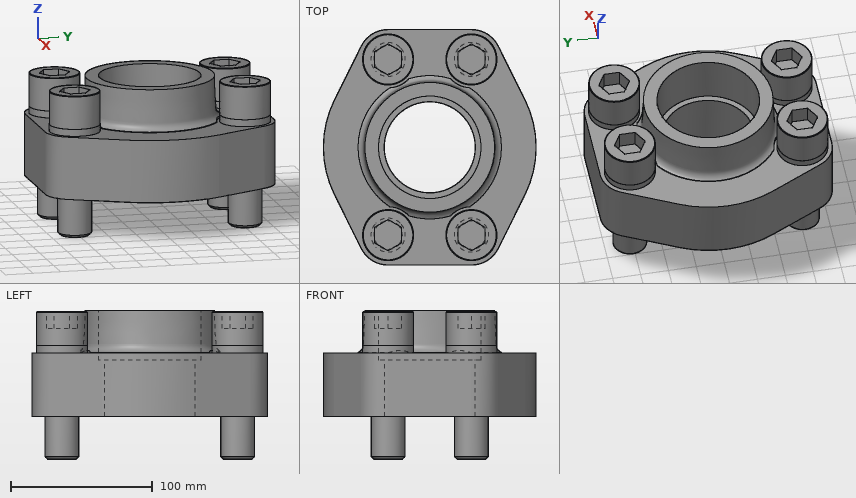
import cadquery as cq
import math

plate_length = 166.0
plate_thickness = 45.0
side_radius = 75.0
bore_diameter = 64.0

bolt_spacing_x = 58.7
bolt_spacing_y = 123.7
bolt_points = [
    (sign_x * bolt_spacing_x / 2, sign_y * bolt_spacing_y / 2)
    for sign_x in (-1, 1)
    for sign_y in (-1, 1)
]
bolt_clearance_diameter = 40.0

neck_height = 30.0
neck_top_radius = 45.7
neck_foot_radius = 46.7
neck_base_radius = 50.5
foot_fillet_radius = 6.0
socket_diameter = 72.23
socket_depth = 35.0

washer_diameter = 36.0
washer_thickness = 5.0
head_diameter = 35.9
head_height = 24.0
head_chamfer = 0.5
hex_sides = 6
hex_across_flats = 19.0
hex_depth = 12.0
shank_diameter = 24.0
shank_protrusion = 30.0
shank_tip_chamfer = 2.0


def make_plate():
    """Plate bounded by two straight ends, corner arcs about the bolts, tangent flanks and side arcs."""
    bolt_x = bolt_spacing_x / 2
    bolt_y = bolt_spacing_y / 2
    half_length = plate_length / 2
    corner_radius = half_length - bolt_y
    flank_angle = math.atan2(bolt_y, bolt_x) - math.acos(
        (side_radius - corner_radius) / math.hypot(bolt_x, bolt_y)
    )
    corner_middle_angle = (flank_angle + math.pi / 2) / 2

    side_x = side_radius * math.cos(flank_angle)
    side_y = side_radius * math.sin(flank_angle)
    corner_x = bolt_x + corner_radius * math.cos(flank_angle)
    corner_y = bolt_y + corner_radius * math.sin(flank_angle)
    middle_x = bolt_x + corner_radius * math.cos(corner_middle_angle)
    middle_y = bolt_y + corner_radius * math.sin(corner_middle_angle)

    return (
        cq.Workplane("XY")
        .moveTo(side_x, -side_y)
        .threePointArc((side_radius, 0), (side_x, side_y))
        .lineTo(corner_x, corner_y)
        .threePointArc((middle_x, middle_y), (bolt_x, half_length))
        .lineTo(-bolt_x, half_length)
        .threePointArc((-middle_x, middle_y), (-corner_x, corner_y))
        .lineTo(-side_x, side_y)
        .threePointArc((-side_radius, 0), (-side_x, -side_y))
        .lineTo(-corner_x, -corner_y)
        .threePointArc((-middle_x, -middle_y), (-bolt_x, -half_length))
        .lineTo(bolt_x, -half_length)
        .threePointArc((middle_x, -middle_y), (corner_x, -corner_y))
        .close()
        .extrude(-plate_thickness)
    )


def make_neck():
    """Tapered neck whose foot fillet ends in a low step and is relieved around the bolts."""
    fillet_center_x = neck_foot_radius + foot_fillet_radius
    step_angle = math.acos((fillet_center_x - neck_base_radius) / foot_fillet_radius)
    step_height = foot_fillet_radius * (1 - math.sin(step_angle))
    fillet_middle = (
        fillet_center_x - foot_fillet_radius * math.cos(step_angle / 2),
        foot_fillet_radius * (1 - math.sin(step_angle / 2)),
    )
    neck = (
        cq.Workplane("XZ")
        .moveTo(0, 0)
        .lineTo(neck_base_radius, 0)
        .lineTo(neck_base_radius, step_height)
        .threePointArc(fillet_middle, (neck_foot_radius, foot_fillet_radius))
        .lineTo(neck_top_radius, neck_height)
        .lineTo(0, neck_height)
        .close()
        .revolve(360, (0, 0), (0, 1))
    )
    reliefs = (
        cq.Workplane("XY")
        .pushPoints(bolt_points)
        .circle(bolt_clearance_diameter / 2)
        .extrude(neck_height)
    )
    return neck.cut(reliefs)


def cut_bore(body):
    """Cut the through bore and the socket above it."""
    bore = (
        cq.Workplane("XY")
        .workplane(offset=-plate_thickness)
        .circle(bore_diameter / 2)
        .extrude(plate_thickness + neck_height)
    )
    socket = (
        cq.Workplane("XY")
        .workplane(offset=neck_height - socket_depth)
        .circle(socket_diameter / 2)
        .extrude(socket_depth)
    )
    return body.cut(bore).cut(socket)


def make_bolt():
    """Bolt with its washer, centered on the Z axis and running down through the plate."""
    head_top = washer_thickness + head_height
    hex_across_corners = hex_across_flats / math.cos(math.pi / hex_sides)
    washer = cq.Workplane("XY").circle(washer_diameter / 2).extrude(washer_thickness)
    head = (
        cq.Workplane("XY")
        .workplane(offset=washer_thickness)
        .circle(head_diameter / 2)
        .extrude(head_height)
        .faces(">Z")
        .chamfer(head_chamfer)
    )
    hex_socket = (
        cq.Workplane("XY")
        .workplane(offset=head_top - hex_depth)
        .transformed(rotate=(0, 0, 90))
        .polygon(hex_sides, hex_across_corners)
        .extrude(hex_depth)
    )
    shank = (
        cq.Workplane("XY")
        .circle(shank_diameter / 2)
        .extrude(-(plate_thickness + shank_protrusion))
        .faces("<Z")
        .chamfer(shank_tip_chamfer)
    )
    return washer.union(head).cut(hex_socket).union(shank)


result = cut_bore(make_plate().union(make_neck()))
bolt = make_bolt()
for bolt_x, bolt_y in bolt_points:
    result = result.union(bolt.translate((bolt_x, bolt_y, 0)))